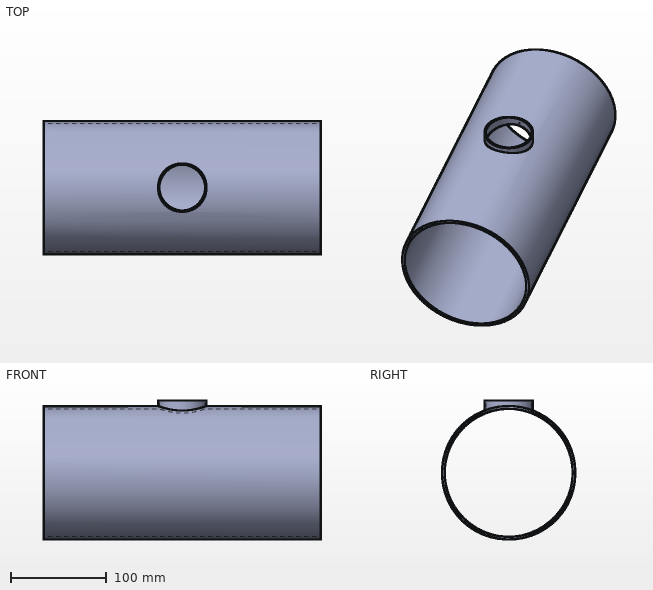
import cadquery as cq

pipe_length = 290.0
pipe_outer_diameter = 139.8
pipe_bore_diameter = 133.7

branch_outer_diameter = 50.8
branch_bore_diameter = 47.8
branch_projection = 5.8
branch_top = pipe_outer_diameter / 2 + branch_projection


def pipe_cylinder(diameter):
    """Solid cylinder along X over the full pipe length."""
    return cq.Workplane("YZ").circle(diameter / 2).extrude(pipe_length / 2, both=True)


def branch_cylinder(diameter):
    """Solid cylinder along Z from the pipe axis to the branch rim."""
    return cq.Workplane("XY").circle(diameter / 2).extrude(branch_top)


outer_body = pipe_cylinder(pipe_outer_diameter).union(branch_cylinder(branch_outer_diameter))

result = outer_body.cut(pipe_cylinder(pipe_bore_diameter)).cut(branch_cylinder(branch_bore_diameter))